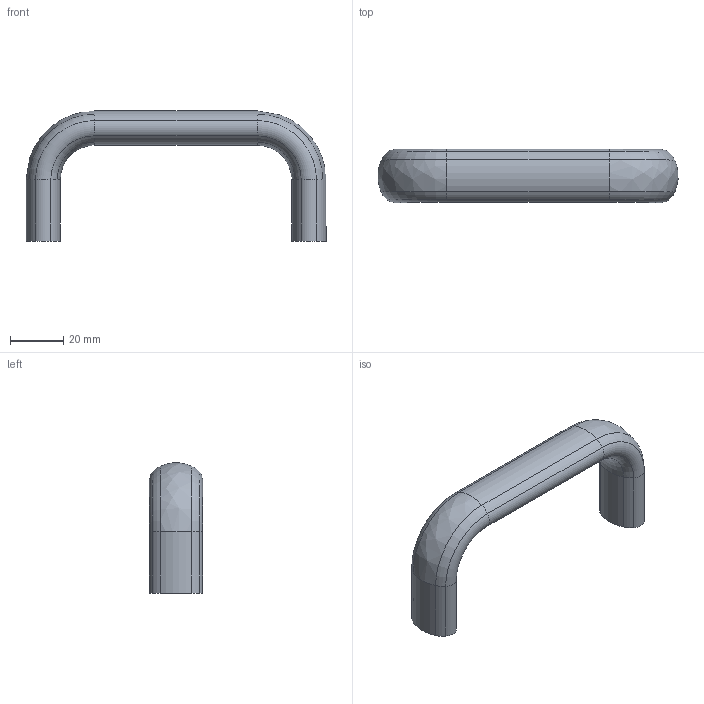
import cadquery as cq
import math

leg_spacing = 100.0
handle_height = 49.0
section_thickness = 13.0
section_width = 20.0
bend_radius = 19.5

crown_joint_y = 6.0
edge_joint_y = 9.0

half_spacing = leg_spacing / 2
half_thickness = section_thickness / 2
half_width = section_width / 2
grip_axis_z = handle_height - half_thickness
bend_start_z = grip_axis_z - bend_radius
grip_end_x = half_spacing - bend_radius


def oval_offset(y):
    """Half thickness of the elliptical section at distance y from its centre."""
    return half_thickness * math.sqrt(1 - (y / half_width) ** 2)


def section_wire(plane):
    """Oval outline of crown, corner and edge arcs, centred on the plane."""
    crown_x = oval_offset(crown_joint_y)
    edge_x = oval_offset(edge_joint_y)
    corner_y = (crown_joint_y + edge_joint_y) / 2
    corner_x = oval_offset(corner_y)
    return (
        plane.moveTo(crown_x, -crown_joint_y)
        .threePointArc((half_thickness, 0), (crown_x, crown_joint_y))
        .threePointArc((corner_x, corner_y), (edge_x, edge_joint_y))
        .threePointArc((0, half_width), (-edge_x, edge_joint_y))
        .threePointArc((-corner_x, corner_y), (-crown_x, crown_joint_y))
        .threePointArc((-half_thickness, 0), (-crown_x, -crown_joint_y))
        .threePointArc((-corner_x, -corner_y), (-edge_x, -edge_joint_y))
        .threePointArc((0, -half_width), (edge_x, -edge_joint_y))
        .threePointArc((corner_x, -corner_y), (crown_x, -crown_joint_y))
        .close()
    )


def bow_path():
    """Centreline: up the left leg, along the grip and down the right leg."""
    bend_middle = bend_radius * math.sin(math.radians(45))
    middle_x = grip_end_x + bend_middle
    middle_z = bend_start_z + bend_middle
    return (
        cq.Workplane("XZ")
        .moveTo(-half_spacing, 0)
        .lineTo(-half_spacing, bend_start_z)
        .threePointArc((-middle_x, middle_z), (-grip_end_x, grip_axis_z))
        .lineTo(grip_end_x, grip_axis_z)
        .threePointArc((middle_x, middle_z), (half_spacing, bend_start_z))
        .lineTo(half_spacing, 0)
    )


left_leg_end = cq.Workplane("XY", origin=(-half_spacing, 0, 0))
result = section_wire(left_leg_end).sweep(bow_path())